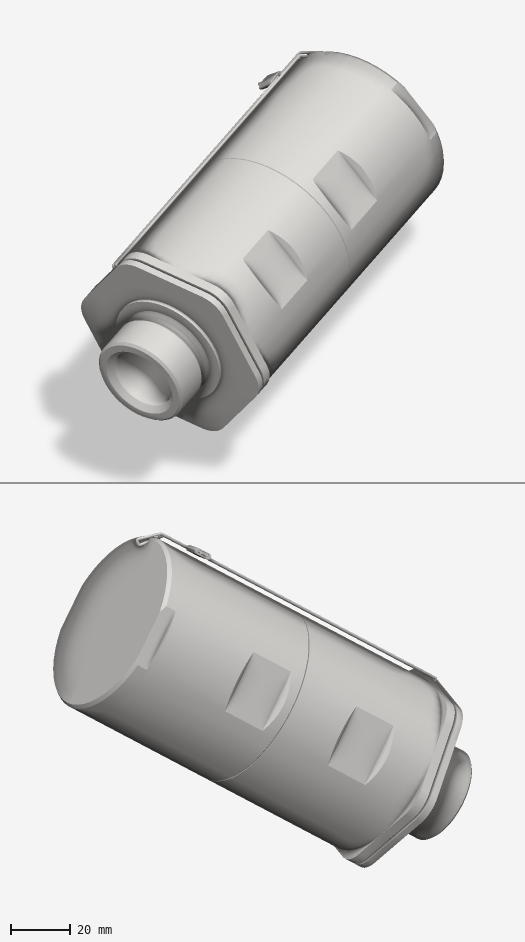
import cadquery as cq
import math


HEX_ACROSS_FLATS = 64.0
BODY_RADIUS = HEX_ACROSS_FLATS / 2
HEX_CORNER_RADIUS = 10.0

THREAD_END = 12.7
UNDERCUT_START = 14.6
UNDERCUT_END = 15.7
UNDERCUT_FILLET_END = 16.4
COLLAR_START = 17.9
FRONT_HEX_START = 19.2
FRONT_HEX_END = 21.7
WIRE_RADIUS = 0.5
REAR_HEX_START = FRONT_HEX_END + 2 * WIRE_RADIUS
REAR_HEX_END = 26.0
HOUSING_SEAM = 82.0
LID_START = 136.3
LID_END = 142.3

THREAD_RADIUS = 16.7
THREAD_CHAMFER = 0.9
UNDERCUT_RADIUS = 15.2
UNDERCUT_FILLET_RISE = 0.3
COLLAR_RADIUS = 20.6
BORE_RADIUS = 11.4
BORE_MOUTH_RADIUS = 13.2
BORE_MOUTH_DEPTH = 2.0
GROOVE_RADIUS = 30.0

SEAM_CHAMFER = 0.5
LID_CHAMFER_LENGTH = 1.3
LID_CHAMFER_WIDTH = 0.9
FLAT_DISTANCE = 30.0
FLAT_LENGTH = 16.0
LOWER_FLAT_START = 43.8
UPPER_FLAT_START = 87.7
LID_FLAT_START = 137.0
FLAT_ANGLES = (45, 225)
HOUSING_FLAT_END_SLOPE = 1
LID_FLAT_END_SLOPE = 0

STRAND_DISTANCE = 34.0
STRAND_OFFSET = 0.9
WIRE_BEND = 0.6
LOOP_BEND = 0.7
RING_START_OFFSET = 2.2
LOOP_CLIMB_START = 139.8
LOOP_TIP_DISTANCE = 28.4
LOOP_TIP = 146.4
LOOP_RETURN_DISTANCE = 27.1
LOOP_RETURN = 144.5
LID_HOLE_RADIUS = 1.0
LONG_TAIL_STATION = 126.5
LONG_TAIL_END = 12.0
SHORT_TAIL_STATION = 127.8
SHORT_TAIL_END = 10.2
SEAL_LENGTH = 7.0
SEAL_WIDTH = 6.7
SEAL_THICKNESS = 2.0
SEAL_CHAMFER = 0.9
SEAL_CENTRE_STATION = 126.0
SEAL_CENTRE_OFFSET = 5.0


def cylinder(radius, start, end):
    """Cylinder on the part axis between two stations."""
    return cq.Workplane("XZ", origin=(0, start, 0)).circle(radius).extrude(start - end)


def hex_plate(start, end):
    """Hexagonal plate with two sides facing +Z and -Z and rounded corners."""
    across_corners = HEX_ACROSS_FLATS / math.cos(math.pi / 6)
    plate = cq.Workplane("XZ", origin=(0, start, 0)).polygon(6, across_corners).extrude(start - end)
    return plate.edges("|Y").fillet(HEX_CORNER_RADIUS)


def flat_cutter(angle, start, end, end_slope):
    """Block that cuts a flat facing `angle` (from +X towards +Z), with ends that slope outwards."""
    depth = 2 * (BODY_RADIUS - FLAT_DISTANCE)
    turn = math.radians(angle)
    facing = cq.Plane(
        origin=(0, 0, 0),
        xDir=(math.cos(turn), 0, math.sin(turn)),
        normal=(-math.sin(turn), 0, math.cos(turn)),
    )
    outline = [
        (FLAT_DISTANCE, start),
        (FLAT_DISTANCE + depth, start - depth * end_slope),
        (FLAT_DISTANCE + depth, end + depth * end_slope),
        (FLAT_DISTANCE, end),
    ]
    return cq.Workplane(facing).polyline(outline).close().extrude(BODY_RADIUS, both=True)


def cut_flats(body, start, end, end_slope):
    for angle in FLAT_ANGLES:
        body = body.cut(flat_cutter(angle, start, end, end_slope))
    return body


def seal_point(offset, station, distance):
    """Point at `distance` from the axis towards (-X, +Z), moved sideways towards (-X, -Z)."""
    half = math.sqrt(0.5)
    return cq.Vector(-half * (distance + offset), station, half * (distance - offset))


def make_fitting():
    """Threaded stub, collar, front hexagon and the wire groove's core, with a bore through all."""
    fillet_end = (UNDERCUT_RADIUS + UNDERCUT_FILLET_RISE, UNDERCUT_FILLET_END)
    stub = (
        cq.Workplane("XY")
        .moveTo(0, 0)
        .lineTo(THREAD_RADIUS - THREAD_CHAMFER, 0)
        .lineTo(THREAD_RADIUS, THREAD_CHAMFER)
        .lineTo(THREAD_RADIUS, THREAD_END)
        .lineTo(UNDERCUT_RADIUS, UNDERCUT_START)
        .lineTo(UNDERCUT_RADIUS, UNDERCUT_END)
        .tangentArcPoint(fillet_end, relative=False)
        .lineTo(THREAD_RADIUS, COLLAR_START)
        .lineTo(COLLAR_RADIUS, COLLAR_START)
        .lineTo(COLLAR_RADIUS, FRONT_HEX_START)
        .lineTo(0, FRONT_HEX_START)
        .close()
        .revolve(360, (0, 0, 0), (0, 1, 0))
    )
    core = cylinder(GROOVE_RADIUS, FRONT_HEX_END, REAR_HEX_START)
    bore = (
        cq.Workplane("XY")
        .polyline(
            [
                (0, 0),
                (BORE_MOUTH_RADIUS, 0),
                (BORE_RADIUS, BORE_MOUTH_DEPTH),
                (BORE_RADIUS, REAR_HEX_START),
                (0, REAR_HEX_START),
            ]
        )
        .close()
        .revolve(360, (0, 0, 0), (0, 1, 0))
    )
    return stub.union(hex_plate(FRONT_HEX_START, FRONT_HEX_END)).union(core).cut(bore)


def make_lower_housing():
    barrel = cylinder(BODY_RADIUS, REAR_HEX_END, HOUSING_SEAM)
    barrel = cut_flats(barrel, LOWER_FLAT_START, LOWER_FLAT_START + FLAT_LENGTH, HOUSING_FLAT_END_SLOPE)
    return barrel.union(hex_plate(REAR_HEX_START, REAR_HEX_END))


def make_upper_housing():
    barrel = cylinder(BODY_RADIUS, HOUSING_SEAM, LID_START).faces("<Y").edges().chamfer(SEAM_CHAMFER)
    return cut_flats(barrel, UPPER_FLAT_START, UPPER_FLAT_START + FLAT_LENGTH, HOUSING_FLAT_END_SLOPE)


def make_lid():
    """End cap with a chamfered rim, two flats and a slanting hole for the seal wire."""
    lid = (
        cq.Workplane("XY")
        .polyline(
            [
                (0, LID_START),
                (BODY_RADIUS, LID_START),
                (BODY_RADIUS, LID_END - LID_CHAMFER_LENGTH),
                (BODY_RADIUS - LID_CHAMFER_WIDTH, LID_END),
                (0, LID_END),
            ]
        )
        .close()
        .revolve(360, (0, 0, 0), (0, 1, 0))
    )
    lid = cut_flats(lid, LID_FLAT_START, LID_END, LID_FLAT_END_SLOPE)
    hole_top = seal_point(-STRAND_OFFSET, LOOP_RETURN, LOOP_RETURN_DISTANCE)
    hole_run = seal_point(-STRAND_OFFSET, wire_exit_station(), STRAND_DISTANCE) - hole_top
    hole = cq.Solid.makeCylinder(LID_HOLE_RADIUS, hole_run.Length, hole_top, hole_run)
    return lid.cut(cq.Workplane(hole))


def wire_exit_station():
    """Station where the 45 degree run through the lid reaches the straight strand."""
    return LOOP_RETURN - (STRAND_DISTANCE - LOOP_RETURN_DISTANCE)


def bent_path(points, bends):
    """Edges along a chain of points, with each inner corner rounded to its bend radius."""
    edges = []
    reached = points[0]
    for before, corner, after, bend in zip(points, points[1:], points[2:], bends):
        back = (before - corner).normalized()
        ahead = (after - corner).normalized()
        half_angle = back.getAngle(ahead) / 2
        setback = bend / math.tan(half_angle)
        bisector = (back + ahead).normalized()
        middle = corner + bisector * (bend / math.sin(half_angle) - bend)
        arc_start = corner + back * setback
        arc_end = corner + ahead * setback
        edges.append(cq.Edge.makeLine(reached, arc_start))
        edges.append(cq.Edge.makeThreePointArc(arc_start, middle, arc_end))
        reached = arc_end
    edges.append(cq.Edge.makeLine(reached, points[-1]))
    return edges


def make_wire():
    """Seal wire: from the seal through the lid, down and around the groove, and back to the seal."""
    ring_station = (FRONT_HEX_END + REAR_HEX_START) / 2
    ring_radius = GROOVE_RADIUS + WIRE_RADIUS
    ring_angle = math.asin(RING_START_OFFSET / ring_radius)
    ring_end_distance = ring_radius * math.cos(ring_angle)
    ring_corner_distance = (ring_radius - STRAND_OFFSET * math.sin(ring_angle)) / math.cos(ring_angle)

    lid_run = [
        seal_point(SHORT_TAIL_END, SHORT_TAIL_STATION, STRAND_DISTANCE),
        seal_point(STRAND_OFFSET, SHORT_TAIL_STATION, STRAND_DISTANCE),
        seal_point(STRAND_OFFSET, LOOP_CLIMB_START, STRAND_DISTANCE),
        seal_point(-STRAND_OFFSET, LOOP_TIP, LOOP_TIP_DISTANCE),
        seal_point(-STRAND_OFFSET, LOOP_RETURN, LOOP_RETURN_DISTANCE),
        seal_point(-STRAND_OFFSET, wire_exit_station(), STRAND_DISTANCE),
        seal_point(-STRAND_OFFSET, ring_station, STRAND_DISTANCE),
        seal_point(-STRAND_OFFSET, ring_station, ring_corner_distance),
        seal_point(-RING_START_OFFSET, ring_station, ring_end_distance),
    ]
    lid_bends = [WIRE_BEND, LOOP_BEND, LOOP_BEND, LOOP_BEND, LOOP_BEND, WIRE_BEND, WIRE_BEND]
    return_run = [
        seal_point(RING_START_OFFSET, ring_station, ring_end_distance),
        seal_point(STRAND_OFFSET, ring_station, ring_corner_distance),
        seal_point(STRAND_OFFSET, ring_station, STRAND_DISTANCE),
        seal_point(STRAND_OFFSET, LONG_TAIL_STATION, STRAND_DISTANCE),
        seal_point(LONG_TAIL_END, LONG_TAIL_STATION, STRAND_DISTANCE),
    ]
    return_bends = [WIRE_BEND, WIRE_BEND, WIRE_BEND]
    ring = cq.Edge.makeThreePointArc(lid_run[-1], seal_point(0, ring_station, -ring_radius), return_run[0])

    path = cq.Wire.assembleEdges(bent_path(lid_run, lid_bends) + [ring] + bent_path(return_run, return_bends))
    start_plane = cq.Plane(origin=lid_run[0], xDir=(0, 1, 0), normal=lid_run[1] - lid_run[0])
    return cq.Workplane(start_plane).circle(WIRE_RADIUS).sweep(cq.Workplane(path))


def make_seal():
    """Flat seal block with four chamfered edges and a hole for each end of the wire."""
    centre = seal_point(SEAL_CENTRE_OFFSET, SEAL_CENTRE_STATION, STRAND_DISTANCE)
    face = cq.Plane(origin=centre, xDir=(0, 1, 0), normal=(-1, 0, 1))
    seal = cq.Workplane(face).box(SEAL_LENGTH, SEAL_WIDTH, SEAL_THICKNESS)
    edges_along_tails = cq.selectors.ParallelDirSelector(cq.Vector(-1, 0, -1))
    seal = seal.edges(edges_along_tails).chamfer(SEAL_CHAMFER)
    for station in (SHORT_TAIL_STATION, LONG_TAIL_STATION):
        hole_start = seal_point(0, station, STRAND_DISTANCE)
        hole_run = seal_point(LONG_TAIL_END, station, STRAND_DISTANCE) - hole_start
        hole = cq.Solid.makeCylinder(WIRE_RADIUS, hole_run.Length, hole_start, hole_run)
        seal = seal.cut(cq.Workplane(hole))
    return seal


fitting = make_fitting()
lower_housing = make_lower_housing()
upper_housing = make_upper_housing()
lid = make_lid()
wire = make_wire()
seal = make_seal()

result = cq.Compound.makeCompound(
    [
        fitting.val(),
        lower_housing.val(),
        upper_housing.val(),
        lid.val(),
        wire.val(),
        seal.val(),
    ]
)